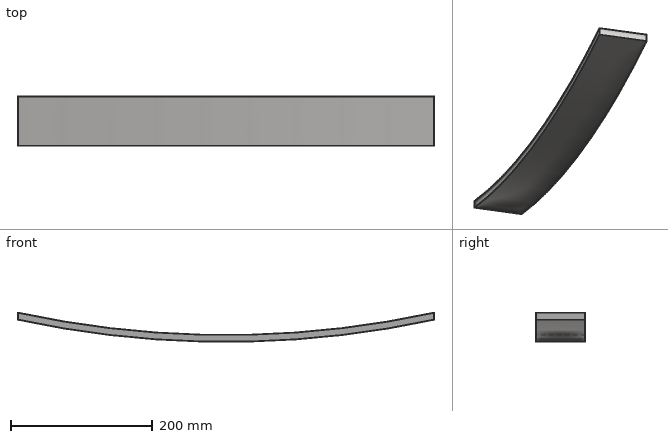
import cadquery as cq
import math

length = 590.0
width = 70.0
height = 41.71
thickness = 10.0

half_length = length / 2
top_sag = height - thickness
top_radius = (half_length**2 + top_sag**2) / (2 * top_sag)
bottom_radius = top_radius + thickness
bottom_sag = bottom_radius - math.sqrt(bottom_radius**2 - half_length**2)


def make_strip():
    """Bowed strip with vertical ends, lowest point at Z = 0, centred on X and Y."""
    profile = (
        cq.Workplane("XZ")
        .moveTo(-half_length, bottom_sag)
        .threePointArc((0, 0), (half_length, bottom_sag))
        .lineTo(half_length, height)
        .threePointArc((0, thickness), (-half_length, height))
        .close()
    )
    return profile.extrude(width / 2, both=True)


result = make_strip()